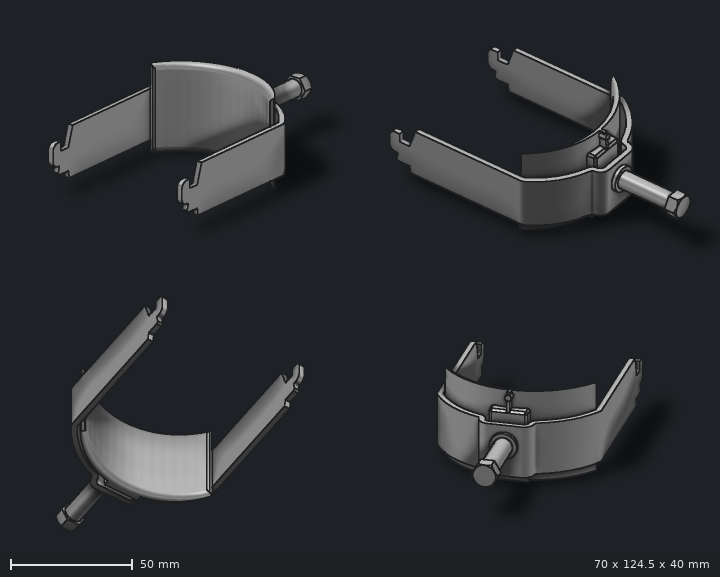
import cadquery as cq
import math


LENGTH = 124.5

STRAP_WIDTH = 70.0
STRAP_THICKNESS = 2.6
STRAP_BOTTOM = -14.5
STRAP_TOP = 8.3
ARCH_RADIUS = 40.0
ARCH_CENTRE_Y = 48.5
CROWN_Y = 92.0
CROWN_HALF_WIDTH = 11.0
CROWN_WALL_TILT = 12.0
CROWN_CORNER_RADIUS = 4.7
CROWN_FOOT_RADIUS = 1.2
ARCH_FOOT_RADIUS = 4.5

NECK_TOP = -0.6
NECK_BOTTOM = -11.1
NECK_RADIUS = 0.5
NECK_START_Y = 10.2
LEG_TOP_END_Y = 13.1
LEG_BOTTOM_END_Y = 10.8
HOOK_BACK_Y = 5.2
HOOK_TOP = 3.5
HOOK_BOTTOM = -7.0
HOOK_RADIUS = 3.0
TOOTH_ROOT_Y = 4.2
TOOTH_TIP_Y = 3.5
TOOTH_TIP_Z = -10.1

SCREW_Z = -0.5
SHANK_DIAMETER = 8.0
HEAD_ACROSS_FLATS = 10.0
HEAD_HEIGHT = 5.4
HEAD_CHAMFER = 0.9
COLLAR_DIAMETER = 11.6
COLLAR_HEIGHT = 1.9

SADDLE_WIDTH = 64.2
SADDLE_HEIGHT = 40.0
SADDLE_END_Y = 64.4
SADDLE_OUTER_RADIUS = 39.1
SADDLE_OUTER_CROWN_Y = 82.2
SADDLE_INNER_RADIUS = 38.7
SADDLE_INNER_CROWN_Y = 78.9
SADDLE_END_CHAMFER = 0.6
RIM_RADIUS = 3.0
SADDLE_OUTER_CENTRE_Y = SADDLE_OUTER_CROWN_Y - SADDLE_OUTER_RADIUS
SADDLE_INNER_CENTRE_Y = SADDLE_INNER_CROWN_Y - SADDLE_INNER_RADIUS
SADDLE_TOP = SADDLE_HEIGHT / 2

BLOCK_TOP_Y = 85.7
BLOCK_BASE_Y = 79.7
BLOCK_WIDTH = 16.8
BLOCK_TOP_Z = 12.3
BLOCK_DRAFT = 3.0
BLOCK_CHAMFER = 1.0
BLOCK_CORNER_CHAMFER = 1.0
RIB_WIDTH = 1.4
RIB_END_Y = 84.8
PEG_DIAMETER = 2.9
PEG_Z = 17.7
FOOT_WIDTH = 16.2
FOOT_INNER_Y = 84.3
FOOT_END_Y = 83.7


def cylinder_y(diameter, y_start, y_end, z):
    """Cylinder along Y."""
    return (
        cq.Workplane("XZ", origin=(0, y_start, z))
        .circle(diameter / 2)
        .extrude(y_start - y_end)
    )


def disc_z(radius, y_centre, z_bottom, z_top):
    """Cylinder along Z, centred on X = 0."""
    return (
        cq.Workplane("XY", origin=(0, y_centre, z_bottom))
        .circle(radius)
        .extrude(z_top - z_bottom)
    )


def strap_envelope(inset):
    """Solid filling the strap outline after moving it inward by `inset`."""
    height = STRAP_TOP - STRAP_BOTTOM
    half_width = STRAP_WIDTH / 2 - inset
    radius = ARCH_RADIUS - inset
    crown_y = CROWN_Y - inset
    tilt = math.radians(CROWN_WALL_TILT)
    crown_half = CROWN_HALF_WIDTH - inset * (1 - math.sin(tilt)) / math.cos(tilt)
    base_half = crown_half + (crown_y - ARCH_CENTRE_Y) * math.tan(tilt)
    spring_y = ARCH_CENTRE_Y + math.sqrt(radius**2 - half_width**2)

    plane = cq.Workplane("XY", origin=(0, 0, STRAP_BOTTOM))
    arch = (
        plane.moveTo(-half_width, 0)
        .lineTo(half_width, 0)
        .lineTo(half_width, spring_y)
        .threePointArc((0, ARCH_CENTRE_Y + radius), (-half_width, spring_y))
        .close()
        .extrude(height)
        .edges("|Z")
        .edges(">Y")
        .fillet(ARCH_FOOT_RADIUS - inset)
    )
    crown = (
        plane.polyline([
            (-base_half, ARCH_CENTRE_Y),
            (base_half, ARCH_CENTRE_Y),
            (crown_half, crown_y),
            (-crown_half, crown_y),
        ])
        .close()
        .extrude(height)
    )
    return (
        arch.union(crown)
        .edges("|Z")
        .edges(">>Y[-2]")
        .fillet(CROWN_FOOT_RADIUS + inset)
        .edges("|Z")
        .edges(">Y")
        .fillet(CROWN_CORNER_RADIUS - inset)
    )


def leg_profile():
    """Side outline of the legs, extruded across the whole strap width."""
    arc_shift = HOOK_RADIUS * (1 - math.sqrt(0.5))
    rear_y = CROWN_Y
    side = (
        cq.Workplane("YZ", origin=(-STRAP_WIDTH / 2, 0, 0))
        .moveTo(rear_y, STRAP_TOP)
        .lineTo(LEG_TOP_END_Y, STRAP_TOP)
        .lineTo(NECK_START_Y, NECK_TOP)
        .lineTo(HOOK_BACK_Y, NECK_TOP)
        .lineTo(HOOK_BACK_Y, HOOK_TOP)
        .lineTo(HOOK_RADIUS, HOOK_TOP)
        .threePointArc((arc_shift, HOOK_TOP - arc_shift), (0, HOOK_TOP - HOOK_RADIUS))
        .lineTo(0, HOOK_BOTTOM + HOOK_RADIUS)
        .threePointArc((arc_shift, HOOK_BOTTOM + arc_shift), (HOOK_RADIUS, HOOK_BOTTOM))
        .lineTo(TOOTH_ROOT_Y, HOOK_BOTTOM)
        .lineTo(TOOTH_TIP_Y, TOOTH_TIP_Z)
        .lineTo(TOOTH_ROOT_Y, NECK_BOTTOM)
        .lineTo(NECK_START_Y, NECK_BOTTOM)
        .lineTo(LEG_BOTTOM_END_Y, STRAP_BOTTOM)
        .lineTo(rear_y, STRAP_BOTTOM)
        .close()
        .extrude(STRAP_WIDTH)
    )
    rounded_corners = [
        (0, NECK_START_Y, NECK_TOP),
        (0, HOOK_BACK_Y, NECK_TOP),
        (0, TOOTH_ROOT_Y, HOOK_BOTTOM),
    ]
    for corner in rounded_corners:
        side = side.edges("|X").edges(cq.selectors.NearestToPointSelector(corner)).fillet(NECK_RADIUS)
    return side


def screw():
    """Hexagon-headed screw with the collar that carries it on the strap."""
    head_diameter = HEAD_ACROSS_FLATS / math.cos(math.pi / 6)
    head_start = LENGTH - HEAD_HEIGHT
    head = (
        cq.Workplane("XZ", origin=(0, head_start, SCREW_Z))
        .polygon(6, head_diameter)
        .extrude(-HEAD_HEIGHT)
    )
    rounding = cylinder_y(head_diameter, head_start, LENGTH, SCREW_Z).faces(">Y").chamfer(HEAD_CHAMFER)
    shank = cylinder_y(SHANK_DIAMETER, BLOCK_TOP_Y, head_start, SCREW_Z)
    collar = cylinder_y(COLLAR_DIAMETER, CROWN_Y, CROWN_Y + COLLAR_HEIGHT, SCREW_Z)
    return head.intersect(rounding).union(shank).union(collar)


def make_clamp():
    """Strap with its screw."""
    strap = strap_envelope(0).cut(strap_envelope(STRAP_THICKNESS))
    return strap.intersect(leg_profile()).union(screw())


def saddle_plate():
    """Arched plate between two arcs, with flat ends and rounded inner rims."""
    end_block = (
        cq.Workplane("XY", origin=(0, SADDLE_END_Y, 0))
        .box(SADDLE_WIDTH, SADDLE_OUTER_RADIUS, SADDLE_HEIGHT, centered=(True, False, True))
    )
    plate = (
        disc_z(SADDLE_OUTER_RADIUS, SADDLE_OUTER_CENTRE_Y, -SADDLE_TOP, SADDLE_TOP)
        .intersect(end_block)
        .cut(disc_z(SADDLE_INNER_RADIUS, SADDLE_INNER_CENTRE_Y, -SADDLE_TOP, SADDLE_TOP))
    )
    inner_end_x = math.sqrt(SADDLE_INNER_RADIUS**2 - (SADDLE_END_Y - SADDLE_INNER_CENTRE_Y) ** 2)
    for end_x in (-inner_end_x, inner_end_x):
        end_edge = cq.selectors.NearestToPointSelector((end_x, SADDLE_END_Y, 0))
        plate = plate.edges("|Z").edges(end_edge).chamfer(SADDLE_END_CHAMFER)
    cutter = rim_cutter()
    return plate.cut(cutter).cut(cutter.mirror("XY"))


def rim_cutter():
    """Ring that rounds the upper inner rim with a quarter circle."""
    top = SADDLE_TOP
    start_z = top - RIM_RADIUS
    top_radius = SADDLE_INNER_RADIUS + RIM_RADIUS
    bore_radius = SADDLE_INNER_RADIUS - RIM_RADIUS
    arc_shift = RIM_RADIUS * (1 - math.sqrt(0.5))
    return (
        cq.Workplane("XZ", origin=(0, SADDLE_INNER_CENTRE_Y, 0))
        .moveTo(bore_radius, start_z)
        .lineTo(SADDLE_INNER_RADIUS, start_z)
        .threePointArc((SADDLE_INNER_RADIUS + arc_shift, top - arc_shift), (top_radius, top))
        .lineTo(bore_radius, top)
        .close()
        .revolve(360, (0, 0, 0), (0, 1, 0))
    )


def screw_block():
    """Drafted block centred on the screw, with chamfered corners and top."""
    half_width = BLOCK_WIDTH / 2
    half_height = BLOCK_TOP_Z - SCREW_Z
    corner_x = half_width - BLOCK_CORNER_CHAMFER
    corner_z = half_height - BLOCK_CORNER_CHAMFER
    outline = [
        (corner_x, half_height),
        (half_width, corner_z),
        (half_width, -corner_z),
        (corner_x, -half_height),
        (-corner_x, -half_height),
        (-half_width, -corner_z),
        (-half_width, corner_z),
        (-corner_x, half_height),
    ]
    return (
        cq.Workplane("XZ", origin=(0, BLOCK_BASE_Y, SCREW_Z))
        .polyline(outline)
        .close()
        .extrude(BLOCK_BASE_Y - BLOCK_TOP_Y, taper=BLOCK_DRAFT)
        .faces(">Y")
        .chamfer(BLOCK_CHAMFER)
    )


def wedge(width, inner_y, inner_z, end_y, end_z):
    """Wall across X = 0 whose back slopes from the block to a saddle edge."""
    return (
        cq.Workplane("YZ", origin=(-width / 2, 0, 0))
        .polyline([
            (BLOCK_BASE_Y, inner_z),
            (inner_y, inner_z),
            (end_y, end_z),
            (BLOCK_BASE_Y, end_z),
        ])
        .close()
        .extrude(width)
    )


def make_saddle():
    """Pressure plate with its block, upper rib and peg, and lower foot."""
    rib = wedge(RIB_WIDTH, BLOCK_TOP_Y, BLOCK_TOP_Z - BLOCK_CHAMFER, RIB_END_Y, SADDLE_TOP)
    foot = wedge(FOOT_WIDTH, FOOT_INNER_Y, SCREW_Z, FOOT_END_Y, -SADDLE_TOP)
    peg = cylinder_y(PEG_DIAMETER, BLOCK_BASE_Y, BLOCK_TOP_Y, PEG_Z)
    details = screw_block().union(foot).union(rib).union(peg)
    rim_radius = SADDLE_INNER_RADIUS + RIM_RADIUS
    rim_space = disc_z(rim_radius, SADDLE_INNER_CENTRE_Y, -SADDLE_TOP, SADDLE_TOP)
    return saddle_plate().union(details.cut(rim_space))


clamp = make_clamp()
saddle = make_saddle()
result = cq.Compound.makeCompound([clamp.solids().val(), saddle.solids().val()])